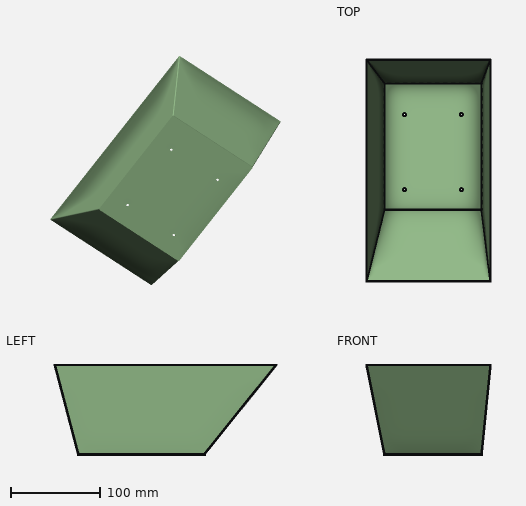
import cadquery as cq

rim_width = 140.0
rim_length = 249.0
height = 101.0
floor_thickness = 1.5
wall_thickness = 1.0
corner_radius = 1.0

left_run = 20.0
right_run = 10.0
front_run = 80.2
back_run = 26.1

hole_diameter = 3.2
hole_spacing_x = 63.7
hole_spacing_y = 84.2
hole_center_x = 5.0
hole_center_y = 20.7

rim_left = -rim_width / 2
rim_right = rim_width / 2
rim_front = -rim_length / 2
rim_back = rim_length / 2
floor_left = rim_left + left_run
floor_right = rim_right - right_run
floor_front = rim_front + front_run
floor_back = rim_back - back_run


def rectangle(left, right, front, back, z):
    """Rectangular wire at height z."""
    points = [(left, front), (right, front), (right, back), (left, back)]
    return cq.Workplane("XY", origin=(0, 0, z)).polyline(points).close().val()


def tapered_block(inset):
    """Block with four sloping sides, moved inward by the inset, standing on the floor plate."""
    lower = rectangle(floor_left + inset, floor_right - inset,
                      floor_front + inset, floor_back - inset, floor_thickness)
    upper = rectangle(rim_left + inset, rim_right - inset,
                      rim_front + inset, rim_back - inset, height)
    return cq.Workplane(cq.Solid.makeLoft([lower, upper], True))


def walls():
    """Four thin sloping walls with rounded outer corners and sharp inner ones."""
    corner_edges = "not(#Z or |X or |Y)"
    outer = tapered_block(0).edges(corner_edges).fillet(corner_radius)
    return outer.cut(tapered_block(wall_thickness))


def floor_plate():
    """Flat floor under the walls, with matching rounded corners."""
    outline = rectangle(floor_left, floor_right, floor_front, floor_back, 0)
    plate = cq.Solid.extrudeLinear(outline, [], cq.Vector(0, 0, floor_thickness))
    return cq.Workplane(plate).edges("|Z").fillet(corner_radius)


def floor_holes():
    return (
        cq.Workplane("XY", origin=(hole_center_x, hole_center_y, 0))
        .rarray(hole_spacing_x, hole_spacing_y, 2, 2)
        .circle(hole_diameter / 2)
        .extrude(floor_thickness)
    )


result = walls().union(floor_plate()).cut(floor_holes())